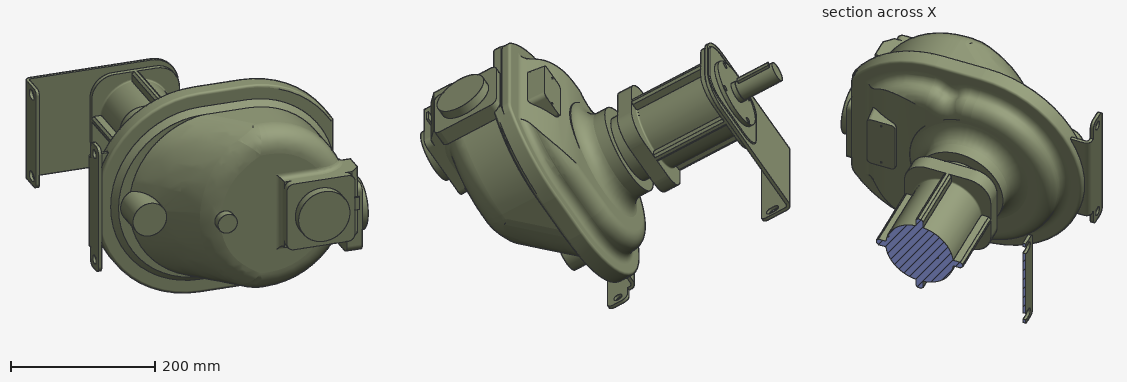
import cadquery as cq
import math


SELECT_MARGIN = 0.5

SHAFT_RADIUS = 14.0
SHAFT_LENGTH = 59.0
COLLAR_RADIUS = 15.0
KEY_START = 4.3
KEY_LENGTH = 50.0
KEY_WIDTH = 8.5
KEY_TOP = 17.5

PILOT_X = 65.7
PILOT_RADIUS = 49.5
PILOT_HOLE_DIAMETER = 8.5
PILOT_HOLE_PITCH = 61.0
PILOT_HOLE_DEPTH = 4.5
PEDESTAL_X = 71.5
PEDESTAL_EDGE_CHAMFER = 3.0
PEDESTAL_SIDE = 129.5
PEDESTAL_CORNER = 33.5
PEDESTAL_FRONT_THICKNESS = 13.2
PEDESTAL_REAR_X = 197.0
PEDESTAL_END_X = 219.5
BARREL_RADIUS = 51.0
BARREL_FILLET = 2.5
RIB_WIDTH = 11.5
RIB_EDGE_CHAMFER = 3.5
NECK_RADIUS = 48.5

HUB_X = 240.5
HUB_RADIUS = 65.0
FLARE_X = 258.3
FLARE_RADIUS = 91.8
HUB_INNER_X = 302.5

CASING_Z = -10.0
LOBE_Y = 68.5
FACE_X = 279.0
FLANGE_X = 314.5
FLANGE_SPLIT_X = 327.5
FLANGE_END_X = 341.0
CASING_END_X = 437.0
FLANGE_HEIGHT = 304.0
FLANGE_LOBE_RADIUS = FLANGE_HEIGHT / 2
BODY_LOBE_RADIUS = 123.0
FLANGE_SIDE_Y = 195.0
REAR_FLANGE_SIDE_Y = 197.5
FLANGE_SIDE_CORNER = 23.5
FLANGE_EDGE_FILLET = 4.0
COVER_EDGE_FILLET = 21.5
COVER_BASE_FILLET = 13.0
COVER_RIM_Y = 168.5
REAR_EDGE_FILLET = 33.0
LEAN_RIM_FILLET = 38.0
REAR_BASE_FLARE = 8.5
REAR_BASE_BEVEL = 45
BODY_SIDE_Y = FLANGE_SIDE_Y
LEAN_START_Y = -8.0
LEAN_BULGE = 108.0

VALLEY_Y = 40.5
VALLEY_RADIUS = 19.0
VALLEY_DEPTH = 9.5
VALLEY_EDGE_FILLET = 23.5

PAD_X = 282.0
PAD_Y = 135.8
PAD_Z = 0.0
PAD_WIDTH = 42.5
PAD_HEIGHT = 81.5
PAD_CORNER = 6.5
PAD_TAPER = 5
PAD_PIN_PITCH = 68.0
PAD_PIN_DIAMETER = 2.5
PAD_PIN_DEPTH = 2.5

PORT_SIDE = 100.5
PORT_CORNER = 10.0
PORT_PLATE = 11.0
PORT_PIPE_DIAMETER = 75.5
PORT_PIPE_LENGTH = 13.2
OUTLET_X = 379.5
OUTLET_Z = -43.0
OUTLET_END_Y = 221.0
OUTLET_ROOT = 12.0
INLET_Y = 135.5
INLET_END_X = 473.0
INLET_NECK_DEPTH = 28.5
INLET_NECK_FILLET = 7.5
TAB_THICKNESS = 3.0
TAB_WIDTH = 19.0
TAB_END_Y = 196.5
DRAIN_Y = -95.0
DRAIN_DIAMETER = 49.5
DRAIN_END_X = 399.0
PLUG_Y = 1.5
PLUG_DIAMETER = 28.5
PLUG_END_X = 449.5

FOOT_Y = -160.0
SHEET = 4.5
BEND_RADIUS = 8.5
FRONT_FOOT_X = 73.0
FRONT_FOOT_END_X = 120.0
FRONT_FOOT_TOP_Y = 65.7
FRONT_FOOT_HEIGHT = 149.5
FRONT_FOOT_TOP_CORNER = 40.0
FRONT_FOOT_CORNER = 7.5
SLOT_X = 102.0
SLOT_PITCH = 124.5
SLOT_LENGTH = 19.0
SLOT_WIDTH = 13.2
REAR_FOOT_X = 325.0
REAR_FOOT_END_X = 370.0
REAR_FOOT_TOP_Y = -123.0
REAR_WEB_HEIGHT = 136.0
REAR_FOOT_HEIGHT = 189.0
REAR_FOOT_EDGE_X = 337.2
REAR_FOOT_CORNER = 9.5
REAR_HOLE_X = 353.0
REAR_HOLE_PITCH = 161.0
REAR_HOLE_DIAMETER = 13.0


def section(x, y=0.0, z=0.0):
    """Plane across the shaft at x: local x is Y, local y is Z, it extrudes toward +X."""
    return cq.Workplane("YZ", origin=(x, y, z))


def disc(x_start, x_end, radius, y=0.0, z=0.0):
    return section(x_start, y, z).circle(radius).extrude(x_end - x_start)


def rounded_block(x_start, x_end, width, height, corner, y=0.0, z=0.0):
    block = section(x_start, y, z).rect(width, height).extrude(x_end - x_start)
    return block.edges("|X").fillet(corner)


def lobed_block(x_start, x_end, radius, side_y):
    """Two-lobed outline, cut straight on the +Y side, extruded along X."""
    length = x_end - x_start
    middle = LOBE_Y / 2
    block = section(x_start, middle, CASING_Z).slot2D(LOBE_Y + 2 * radius, 2 * radius).extrude(length)
    keep_width = side_y + radius
    keep = section(x_start, side_y - keep_width / 2, CASING_Z).rect(keep_width, 2 * radius).extrude(length)
    return block.intersect(keep)


def make_shaft():
    shaft = disc(0, SHAFT_LENGTH, SHAFT_RADIUS)
    shaft = shaft.union(disc(SHAFT_LENGTH, PILOT_X, COLLAR_RADIUS))
    key = cq.Workplane("XY").box(KEY_LENGTH, KEY_TOP, KEY_WIDTH, centered=(False, False, True))
    return shaft.union(key.translate((KEY_START, 0, 0)))


def make_pedestal():
    front_end = PEDESTAL_X + PEDESTAL_FRONT_THICKNESS
    side = PEDESTAL_SIDE
    pedestal = rounded_block(PEDESTAL_X, front_end, side, side, PEDESTAL_CORNER)
    pedestal = pedestal.faces("<X").edges().chamfer(PEDESTAL_EDGE_CHAMFER)
    pedestal = pedestal.union(rounded_block(PEDESTAL_REAR_X, PEDESTAL_END_X, side, side, PEDESTAL_CORNER))
    pedestal = pedestal.union(disc(front_end, PEDESTAL_REAR_X, BARREL_RADIUS))
    for width, height in ((side, RIB_WIDTH), (RIB_WIDTH, side)):
        rib = section(front_end).rect(width, height).extrude(PEDESTAL_REAR_X - front_end)
        pedestal = pedestal.union(rib.edges("|X").chamfer(RIB_EDGE_CHAMFER))
    barrel_roots = pedestal.edges("%CIRCLE").edges(cq.selectors.RadiusNthSelector(-1))
    pedestal = barrel_roots.fillet(BARREL_FILLET)
    pilot = disc(PILOT_X, PEDESTAL_X, PILOT_RADIUS)
    holes = section(PILOT_X).rect(PILOT_HOLE_PITCH, PILOT_HOLE_PITCH, forConstruction=True).vertices()
    holes = holes.circle(PILOT_HOLE_DIAMETER / 2).extrude(PILOT_HOLE_DEPTH)
    neck = disc(PEDESTAL_END_X, HUB_X, NECK_RADIUS)
    return pedestal.union(pilot).union(neck).cut(holes)


def make_hub():
    """Hub with a concave flare that runs into the face of the cover."""
    flare_length = FACE_X - FLARE_X
    flare_height = FLARE_RADIUS - HUB_RADIUS
    diagonal = math.sqrt(0.5)
    flare_middle = (FLARE_X + flare_length * diagonal, HUB_RADIUS + flare_height * (1 - diagonal))
    profile = (
        cq.Workplane("XY").moveTo(HUB_X, 0).lineTo(HUB_X, HUB_RADIUS).lineTo(FLARE_X, HUB_RADIUS)
        .threePointArc(flare_middle, (FACE_X, FLARE_RADIUS))
        .lineTo(HUB_INNER_X, FLARE_RADIUS).lineTo(HUB_INNER_X, 0).close()
    )
    return profile.revolve(360, (0, 0, 0), (1, 0, 0))


def make_cover():
    """Bulged front cover; its face curves back to the flange on the +Y side."""
    cover = lobed_block(FACE_X, FLANGE_SPLIT_X, BODY_LOBE_RADIUS, LOBE_Y + BODY_LOBE_RADIUS)
    valley_z = CASING_Z + BODY_LOBE_RADIUS + VALLEY_RADIUS - VALLEY_DEPTH
    cover = cover.cut(disc(FACE_X, FLANGE_SPLIT_X, VALLEY_RADIUS, VALLEY_Y, valley_z))
    valley_low = (FACE_X, VALLEY_Y - VALLEY_RADIUS, 0)
    valley_high = (FLANGE_SPLIT_X, VALLEY_Y + VALLEY_RADIUS, FLANGE_LOBE_RADIUS)
    valley_box = cq.selectors.BoxSelector(valley_low, valley_high)
    cover = cover.edges("|X").edges(valley_box).fillet(VALLEY_EDGE_FILLET)
    cover = cover.faces("<X").edges().fillet(COVER_EDGE_FILLET)
    sweep_y = COVER_RIM_Y - LOBE_Y
    sweep_x = FLANGE_X - FACE_X
    radius = (sweep_y**2 + sweep_x**2) / (2 * sweep_x)
    half_angle = math.asin(sweep_y / radius) / 2
    arc_middle = (
        FACE_X + radius * (1 - math.cos(half_angle)),
        LOBE_Y + radius * math.sin(half_angle),
    )
    clear = 2 * BODY_LOBE_RADIUS
    envelope = (
        cq.Workplane("XY", origin=(0, 0, -clear))
        .moveTo(FACE_X, -clear).lineTo(FACE_X, LOBE_Y)
        .threePointArc(arc_middle, (FLANGE_X, COVER_RIM_Y))
        .lineTo(FLANGE_SPLIT_X, COVER_RIM_Y).lineTo(FLANGE_SPLIT_X, -clear)
        .close().extrude(2 * clear)
    )
    return cover.intersect(envelope)


def make_flange():
    front = lobed_block(FLANGE_X, FLANGE_SPLIT_X, FLANGE_LOBE_RADIUS, FLANGE_SIDE_Y)
    front = front.edges("|X and >Y").fillet(FLANGE_SIDE_CORNER)
    front = front.faces("<X").edges().fillet(FLANGE_EDGE_FILLET)
    rear = lobed_block(FLANGE_SPLIT_X, FLANGE_END_X, FLANGE_LOBE_RADIUS, REAR_FLANGE_SIDE_Y)
    rear = rear.faces(">X").edges().fillet(FLANGE_EDGE_FILLET)
    return front.union(rear)


def lean_outline(x, centre_y):
    """Round-ended outline at x, reaching past the +Y side of the casing."""
    width = BODY_LOBE_RADIUS
    clear = 2 * BODY_LOBE_RADIUS
    return (
        section(x, 0, CASING_Z)
        .moveTo(centre_y, width).lineTo(clear, width)
        .lineTo(clear, -width).lineTo(centre_y, -width)
        .threePointArc((centre_y - LEAN_BULGE, 0), (centre_y, width)).close().val()
    )


def make_rear_body():
    """Rear chamber with a rounded rim; its round -Y end leans 45 degrees toward +Y."""
    body = lobed_block(FLANGE_END_X, CASING_END_X, BODY_LOBE_RADIUS, BODY_SIDE_Y)
    body = body.faces(">X").edges().fillet(REAR_EDGE_FILLET)
    lean = CASING_END_X - FLANGE_END_X
    outlines = [
        lean_outline(FLANGE_END_X, LEAN_START_Y),
        lean_outline(CASING_END_X, LEAN_START_Y + lean),
    ]
    body = body.intersect(cq.Workplane(cq.Solid.makeLoft(outlines, True)))
    rim_y = LEAN_START_Y + lean - LEAN_BULGE
    rim = cq.selectors.NearestToPointSelector((CASING_END_X, rim_y, CASING_Z))
    return body.edges(rim).fillet(LEAN_RIM_FILLET)


def make_base_flare():
    """Bevelled foot where the rear chamber meets the flange."""
    half_width = BODY_LOBE_RADIUS + REAR_BASE_FLARE
    flare = section(FLANGE_END_X, LOBE_Y / 2, CASING_Z).slot2D(LOBE_Y + 2 * half_width, 2 * half_width)
    flare = flare.extrude(REAR_BASE_FLARE, taper=REAR_BASE_BEVEL)
    keep = lobed_block(FLANGE_END_X, CASING_END_X, FLANGE_LOBE_RADIUS, BODY_SIDE_Y)
    return flare.intersect(keep)


def make_outlet():
    """Square port on the +Y side with a short pipe."""
    plate_y = OUTLET_END_Y - PORT_PIPE_LENGTH
    plate_face = cq.Workplane("XZ", origin=(OUTLET_X, plate_y, OUTLET_Z))
    plate = plate_face.rect(PORT_SIDE, PORT_SIDE).extrude(PORT_PLATE + OUTLET_ROOT)
    plate = plate.edges("|Y").fillet(PORT_CORNER)
    return plate.union(plate_face.circle(PORT_PIPE_DIAMETER / 2).extrude(-PORT_PIPE_LENGTH))


def make_inlet():
    """Square port on the rear with a short pipe and a side tab."""
    plate_end = INLET_END_X - PORT_PIPE_LENGTH
    plate_x = plate_end - PORT_PLATE
    inlet = rounded_block(plate_x, plate_end, PORT_SIDE, PORT_SIDE, PORT_CORNER, INLET_Y, CASING_Z)
    inlet = inlet.union(disc(plate_end, INLET_END_X, PORT_PIPE_DIAMETER / 2, INLET_Y, CASING_Z))
    tab_length = TAB_END_Y - INLET_Y
    tab = section(plate_x - TAB_THICKNESS, INLET_Y + tab_length / 2, CASING_Z)
    return inlet.union(tab.rect(tab_length, TAB_WIDTH).extrude(TAB_THICKNESS))


def make_inlet_neck():
    """Neck behind the inlet plate, spread by a 45 degree wedge on the +Y side."""
    plate_x = INLET_END_X - PORT_PIPE_LENGTH - PORT_PLATE
    edge_y = INLET_Y + PORT_SIDE / 2
    wedge = REAR_FLANGE_SIDE_Y - edge_y
    neck_root_x = plate_x - wedge - INLET_NECK_DEPTH
    return (
        cq.Workplane("XY", origin=(0, 0, CASING_Z - PORT_SIDE / 2))
        .moveTo(plate_x, INLET_Y - PORT_SIDE / 2).lineTo(plate_x, edge_y)
        .lineTo(plate_x - wedge, REAR_FLANGE_SIDE_Y).lineTo(neck_root_x, REAR_FLANGE_SIDE_Y)
        .lineTo(neck_root_x, INLET_Y - PORT_SIDE / 2).close().extrude(PORT_SIDE)
    )


def bent_foot(x_start, x_end, top_y, height):
    """Sheet strip along Y with a foot bent toward +X; height is measured along Z."""
    inner_y = FOOT_Y + SHEET
    strip = (
        cq.Workplane("XY", origin=(0, 0, -height / 2))
        .moveTo(x_start, top_y).lineTo(x_start, FOOT_Y).lineTo(x_end, FOOT_Y).lineTo(x_end, inner_y)
        .lineTo(x_start + SHEET, inner_y).lineTo(x_start + SHEET, top_y).close().extrude(height)
    )
    outer = cq.selectors.NearestToPointSelector((x_start, FOOT_Y, 0))
    strip = strip.edges("|Z").edges(outer).fillet(BEND_RADIUS)
    inner = cq.selectors.NearestToPointSelector((x_start + SHEET, inner_y, 0))
    return strip.edges("|Z").edges(inner).fillet(BEND_RADIUS - SHEET)


def foot_plane(x):
    """Plane on the underside of the feet: local x is X, local y is Z, negative depths go toward +Y."""
    return cq.Workplane("XZ", origin=(x, FOOT_Y, 0))


def make_front_foot():
    foot = bent_foot(FRONT_FOOT_X, FRONT_FOOT_END_X, FRONT_FOOT_TOP_Y, FRONT_FOOT_HEIGHT)
    foot = foot.edges("|X and >Y").fillet(FRONT_FOOT_TOP_CORNER)
    foot = foot.edges("|Y and >X").fillet(FRONT_FOOT_CORNER)
    slots = foot_plane(SLOT_X).pushPoints([(0, -SLOT_PITCH / 2), (0, SLOT_PITCH / 2)])
    return foot.cut(slots.slot2D(SLOT_LENGTH, SLOT_WIDTH).extrude(-SHEET))


def make_rear_foot():
    foot = bent_foot(REAR_FOOT_X, REAR_FOOT_END_X, REAR_FOOT_TOP_Y, REAR_WEB_HEIGHT)
    foot_length = REAR_FOOT_END_X - REAR_FOOT_EDGE_X
    plate = foot_plane(REAR_FOOT_EDGE_X + foot_length / 2).rect(foot_length, REAR_FOOT_HEIGHT)
    plate = plate.extrude(-SHEET).edges("|Y").fillet(REAR_FOOT_CORNER)
    holes = foot_plane(REAR_HOLE_X).pushPoints([(0, -REAR_HOLE_PITCH / 2), (0, REAR_HOLE_PITCH / 2)])
    return foot.union(plate).cut(holes.circle(REAR_HOLE_DIAMETER / 2).extrude(-SHEET))


def make_pad():
    """Raised name plate pad on the sloping part of the cover, with two pin holes."""
    depth = FLANGE_X - PAD_X
    draft = 2 * depth * math.tan(math.radians(PAD_TAPER))
    pad = section(FLANGE_X, PAD_Y, PAD_Z).rect(PAD_WIDTH + draft, PAD_HEIGHT + draft)
    pad = pad.extrude(-depth, taper=PAD_TAPER)
    pad = pad.edges("not (|Y or |Z)").fillet(PAD_CORNER)
    pins = section(PAD_X, PAD_Y, PAD_Z).pushPoints([(0, -PAD_PIN_PITCH / 2), (0, PAD_PIN_PITCH / 2)])
    return pad.cut(pins.circle(PAD_PIN_DIAMETER / 2).extrude(PAD_PIN_DEPTH))


def edges_within(x, y_min, y_max, z_half):
    """Select edges lying in the plane at x, inside a window about the casing centre plane."""
    low = (x - SELECT_MARGIN, y_min - SELECT_MARGIN, CASING_Z - z_half - SELECT_MARGIN)
    high = (x + SELECT_MARGIN, y_max + SELECT_MARGIN, CASING_Z + z_half + SELECT_MARGIN)
    return cq.selectors.BoxSelector(low, high, boundingbox=True)


def make_front_casing():
    """Flange and front cover with a concave blend between them, the hub and the pad."""
    casing = make_flange().union(make_cover())
    root = edges_within(FLANGE_X, -BODY_LOBE_RADIUS, COVER_RIM_Y, BODY_LOBE_RADIUS)
    casing = casing.edges(root).fillet(COVER_BASE_FILLET)
    return casing.union(make_hub()).union(make_pad())


def make_rear_casing():
    """Rear chamber with its base flare, ports, drain and priming plug."""
    casing = make_rear_body().union(make_inlet_neck())
    neck_root = edges_within(CASING_END_X, INLET_Y - PORT_SIDE / 2, BODY_SIDE_Y, PORT_SIDE / 2)
    casing = casing.edges(neck_root).fillet(INLET_NECK_FILLET)
    drain = disc(FLANGE_END_X, DRAIN_END_X, DRAIN_DIAMETER / 2, DRAIN_Y, CASING_Z)
    plug = disc(FLANGE_END_X, PLUG_END_X, PLUG_DIAMETER / 2, PLUG_Y, CASING_Z)
    for part in (make_base_flare(), drain, plug, make_outlet(), make_inlet()):
        casing = casing.union(part)
    return casing


result = make_shaft()
for part in (
    make_pedestal(), make_front_casing(), make_rear_casing(), make_front_foot(), make_rear_foot()
):
    result = result.union(part)